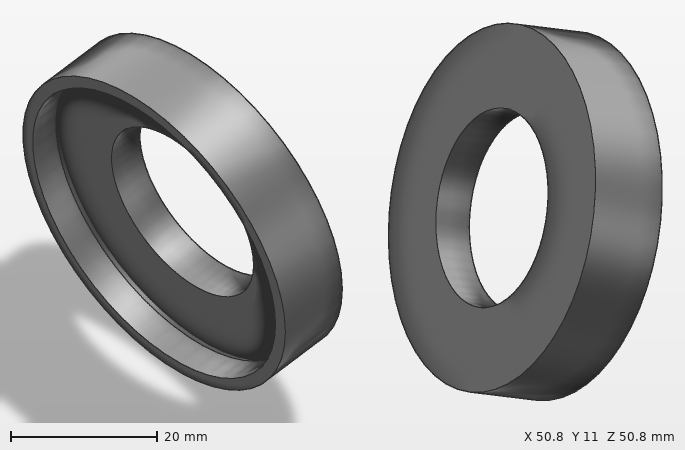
import cadquery as cq

outer_diameter = 50.8
width = 11.0
bore_diameter = 27.5
recess_diameter = 47.0
recess_depth = 5.5
groove_diameter = 48.0
groove_width = 1.0

front_y = -width / 2
floor_y = front_y + recess_depth


def disc(diameter, start_y, length):
    """Cylinder on the Y axis, running from start_y toward +Y."""
    return cq.Workplane("XZ", origin=(0, start_y, 0)).circle(diameter / 2).extrude(-length)


body = disc(outer_diameter, front_y, width)
bore = disc(bore_diameter, front_y, width)
recess = disc(recess_diameter, front_y, recess_depth)
groove = disc(groove_diameter, floor_y - groove_width, groove_width)

result = body.cut(bore).cut(recess).cut(groove)